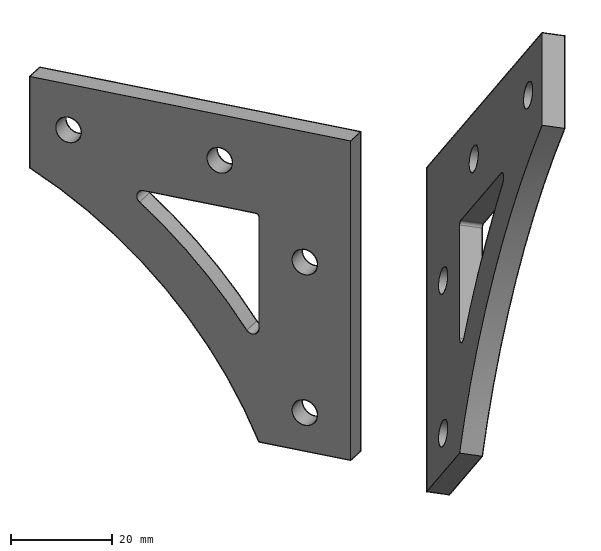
import cadquery as cq
import math

side = 70.0
thickness = 4.75
arm_width = 20.0
web_width = 9.9

arc_radius = 100.0

tip_radius = 1.5
corner_radius = 0.7

hole_diameter = 5.5
hole_inset = 10.0
near_hole = 28.55
hole_spacing = 33.0

reach = side - arm_width
half_chord = reach / math.sqrt(2)
arc_center = reach / 2 - math.sqrt((arc_radius**2 - half_chord**2) / 2)


def diagonal_point(radius):
    """Point where an arc about the common centre crosses the diagonal."""
    coordinate = arc_center + radius / math.sqrt(2)
    return (coordinate, coordinate)


def extrude_back(sketch):
    """Extrude an XZ profile through the plate thickness, toward +Y."""
    return sketch.extrude(-thickness)


def make_plate():
    outline = (
        cq.Workplane("XZ")
        .moveTo(0, reach)
        .lineTo(0, side)
        .lineTo(side, side)
        .lineTo(side, 0)
        .lineTo(reach, 0)
        .threePointArc(diagonal_point(arc_radius), (0, reach))
        .close()
    )
    return extrude_back(outline)


def make_window():
    inner_radius = arc_radius + web_width
    arc_end = arc_center + math.sqrt(inner_radius**2 - (reach - arc_center) ** 2)
    outline = (
        cq.Workplane("XZ")
        .moveTo(arc_end, reach)
        .lineTo(reach, reach)
        .lineTo(reach, arc_end)
        .threePointArc(diagonal_point(inner_radius), (arc_end, reach))
        .close()
    )
    window = extrude_back(outline)
    window = window.edges("|Y").edges(">(1, 0, 1)").fillet(corner_radius)
    return window.edges("|Y").edges("<X or <Z").fillet(tip_radius)


def make_holes():
    hole_centers = []
    for along in (near_hole, near_hole + hole_spacing):
        hole_centers.append((side - along, side - hole_inset))
        hole_centers.append((side - hole_inset, side - along))
    circles = cq.Workplane("XZ").pushPoints(hole_centers).circle(hole_diameter / 2)
    return extrude_back(circles)


result = make_plate().cut(make_window()).cut(make_holes())